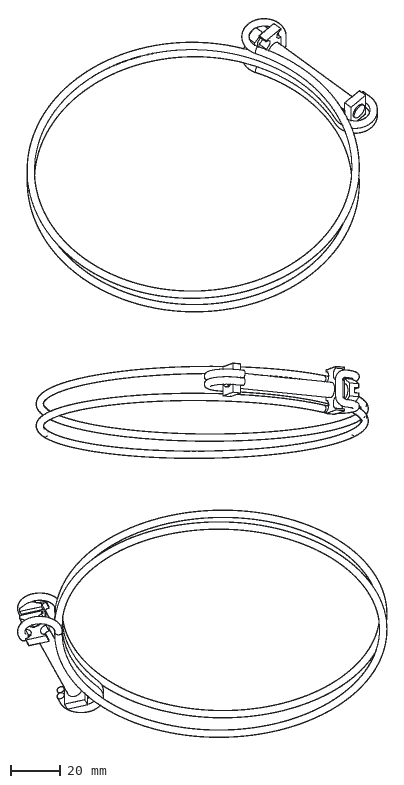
import cadquery as cq
import math

wire_d = 3.0
ring_width = 134.9
clamp_depth = 145.5
wire_r = wire_d / 2
ring_r = ring_width / 2 - wire_r

hook_r = 7.5
back_y = clamp_depth - ring_width / 2
hook_y = back_y - wire_r - hook_r
hook_x = math.sqrt((ring_r + hook_r) ** 2 - hook_y ** 2)
hook_top_y = hook_y + hook_r
touch_angle = math.asin(hook_x / (ring_r + hook_r))
elbow_r = 3.0
hook_end_x = 21.7

outer_z = 6.1
inner_z = 1.6

saddle_left = -25.6
saddle_length = 4.0
block_width = 8.7
saddle_height = 18.0
groove_r = 2.3
groove_z = 6.0

nut_right = 25.6
nut_length = 3.5
nut_height = 12.1

bolt_y = hook_top_y - wire_r - block_width / 2
bolt_d = 6.3
bolt_end = 26.2
head_left = -32.0
head_length = 4.2
head_flats = 9.3
head_corners = head_flats / math.cos(math.pi / 6)
slot_width = 2.2
slot_depth = 1.9


def ring_point(angle, z):
    """Point on the ring at an angle measured clockwise from +Y."""
    return cq.Vector(ring_r * math.sin(angle), ring_r * math.cos(angle), z)


def hook_arc(side, z):
    """Arc from the ring around the outside of a hook to its top; side is -1 left, +1 right."""
    return cq.Edge.makeThreePointArc(
        ring_point(side * touch_angle, z),
        cq.Vector(side * (hook_x + hook_r), hook_y, z),
        cq.Vector(side * hook_x, hook_top_y, z),
    )


def round_wire(edges, section_plane):
    """Solid wire of round section along a chain of edges."""
    path = cq.Wire.assembleEdges(edges)
    return cq.Workplane(section_plane).circle(wire_r).sweep(path)


def make_ring_wire():
    """Upper coil with its right hook: rises from the hook, once around and past it to the left hook."""
    turn = 2 * math.pi + 2 * touch_angle
    rise = outer_z - inner_z
    start = ring_point(touch_angle, inner_z)
    start_angle = 90 - math.degrees(touch_angle)
    helix = cq.Wire.makeHelix(rise * 2 * math.pi / turn, rise, ring_r)
    helix = helix.rotate(cq.Vector(0, 0, 0), cq.Vector(0, 0, 1), start_angle).translate(cq.Vector(0, 0, inner_z))
    toward_hook = cq.Vector(math.cos(touch_angle), -math.sin(touch_angle), 0)
    section = cq.Plane(origin=start, xDir=(0, 0, 1), normal=toward_hook)
    coil = cq.Workplane(section).circle(wire_r).sweep(helix, isFrenet=True)

    straight_end = cq.Edge.makeLine(
        cq.Vector(hook_x, hook_top_y, inner_z),
        cq.Vector(hook_end_x, hook_top_y, inner_z),
    )
    hook = round_wire([hook_arc(1, inner_z), straight_end], section)
    return coil.union(hook)


def make_left_hook():
    """Two loops joined by an upright bar behind the saddle."""
    bar_x = elbow_r - hook_x
    bend = elbow_r * math.sin(math.pi / 4)
    bar_half = outer_z - elbow_r

    def elbow(side):
        return cq.Edge.makeThreePointArc(
            cq.Vector(-hook_x, hook_top_y, side * outer_z),
            cq.Vector(-hook_x + bend, hook_top_y, side * (bar_half + bend)),
            cq.Vector(bar_x, hook_top_y, side * bar_half),
        )

    bar = cq.Edge.makeLine(
        cq.Vector(bar_x, hook_top_y, -bar_half),
        cq.Vector(bar_x, hook_top_y, bar_half),
    )
    edges = [hook_arc(-1, outer_z), elbow(1), bar, elbow(-1), hook_arc(-1, -outer_z)]
    section = cq.Plane(
        origin=ring_point(-touch_angle, outer_z),
        xDir=(0, 0, 1),
        normal=(-math.cos(touch_angle), -math.sin(touch_angle), 0),
    )
    return round_wire(edges, section)


def bolt_plane(x):
    """Plane across the bolt axis, facing +X."""
    return cq.Workplane(cq.Plane(origin=(x, bolt_y, 0), xDir=(0, 1, 0), normal=(1, 0, 0)))


def make_block(left, length, height):
    """Block with a hole for the bolt."""
    block = bolt_plane(left).rect(block_width, height).extrude(length)
    return block.cut(bolt_plane(left).circle(bolt_d / 2).extrude(length))


def make_saddle():
    """Block with a round groove across each side near its top and bottom."""
    saddle = make_block(saddle_left, saddle_length, saddle_height)
    grooves = (
        bolt_plane(saddle_left)
        .rect(block_width, 2 * groove_z, forConstruction=True)
        .vertices()
        .circle(groove_r)
        .extrude(saddle_length)
    )
    return saddle.cut(grooves)


def make_bolt():
    """Slotted hexagon-head bolt; two head corners are relieved where they pass the left hook loops."""
    shank = bolt_plane(head_left).circle(bolt_d / 2).extrude(bolt_end - head_left)
    head = bolt_plane(head_left).transformed(rotate=(0, 0, 90)).polygon(6, head_corners).extrude(head_length)
    slot = bolt_plane(head_left).rect(head_corners, slot_width).extrude(slot_depth)
    for side in (1, -1):
        loop_center = cq.Vector(-hook_x, hook_y, side * outer_z)
        loop = cq.Solid.makeTorus(hook_r, wire_r, loop_center, cq.Vector(0, 0, 1))
        head = head.cut(cq.Workplane(loop))
    return head.union(shank).cut(slot)


upper_wire = make_ring_wire()
ring_wires = [upper_wire.val(), upper_wire.mirror("XY").val()]
left_hook = make_left_hook()
saddle = make_saddle()
nut = make_block(nut_right - nut_length, nut_length, nut_height)
bolt = make_bolt()

result = cq.Compound.makeCompound([*ring_wires, left_hook.val(), saddle.val(), nut.val(), bolt.val()])